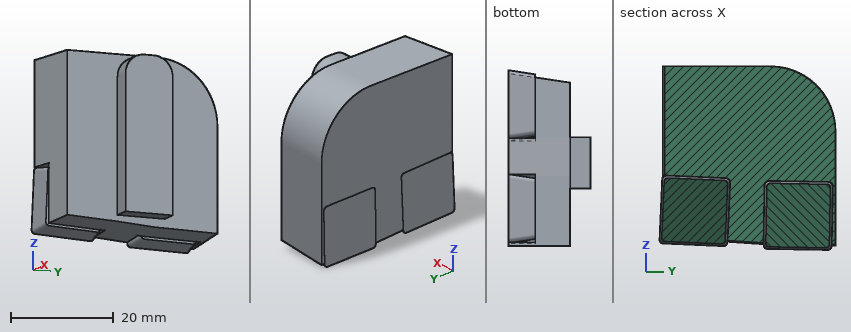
import cadquery as cq
import math


holder_thickness = 12.0
holder_length = 33.7
holder_height = 34.95
back_corner_radius = 12.7
front_relief_angle = 8.5
bottom_relief_angle = 4.5

ramp_back_y = 20.0
ramp_front_y = 12.5
ramp_rise = 0.5

key_depth = 4.0
key_width = 10.0
key_height = 31.5
key_corner_radius = 4.0
key_center_y = 17.45
key_top_gap = 0.5

insert_side = 13.25
insert_corner_radius = 0.8
insert_thickness = 5.2
insert_clearance_angle = 8.5
back_insert_tilt = 1.0
front_insert_tilt = 2.5
all_pocket_corners = "|X"
pocket_corners_except_top_front = "|X and (>Y or <Z)"
insert_seats = [
    (26.4, 5.85, back_insert_tilt, all_pocket_corners),
    (6.25, 6.75, front_insert_tilt, pocket_corners_except_top_front),
]


def tangent(angle):
    return math.tan(math.radians(angle))


def holder_outline(depth):
    """Corner points (Y, Z) of the holder section at a given depth behind the outer face."""
    front_y = depth * tangent(front_relief_angle)
    back_z = depth * tangent(bottom_relief_angle)
    ramp_back_z = back_z + (holder_length - ramp_back_y) * tangent(back_insert_tilt)
    ramp_front_z = ramp_back_z + ramp_rise
    front_z = ramp_front_z + (ramp_front_y - front_y) * tangent(front_insert_tilt)
    return [
        (holder_length, back_z),
        (ramp_back_y, ramp_back_z),
        (ramp_front_y, ramp_front_z),
        (front_y, front_z),
        (front_y, holder_height),
        (holder_length, holder_height),
    ]


def make_block():
    """Block relieved on its front and bottom, with a round top back corner."""
    return (
        cq.Workplane("YZ")
        .polyline(holder_outline(0))
        .close()
        .workplane(offset=holder_thickness)
        .polyline(holder_outline(holder_thickness))
        .close()
        .loft(ruled=True, combine=True)
        .edges(cq.selectors.NearestToPointSelector((holder_thickness / 2, holder_length, holder_height)))
        .fillet(back_corner_radius)
    )


def make_key():
    """Upright key with rounded top corners."""
    key_center_z = holder_height - key_top_gap - key_height / 2
    return (
        cq.Workplane("YZ", origin=(holder_thickness, key_center_y, key_center_z))
        .rect(key_width, key_height)
        .extrude(key_depth)
        .edges("|X and >Z")
        .fillet(key_corner_radius)
    )


def seat_prism(taper):
    """Untilted square standing inward from the outer face, narrowing by the taper angle."""
    return cq.Workplane("YZ").rect(insert_side, insert_side).extrude(insert_thickness, taper=taper)


def place_at_seat(shape, seat):
    center_y, center_z, tilt, _ = seat
    return shape.rotate((0, 0, 0), (1, 0, 0), -tilt).translate((0, center_y, center_z))


def make_pocket(seat):
    """Straight-walled pocket tool."""
    rounded_edges = seat[-1]
    pocket = seat_prism(taper=0).edges(rounded_edges).fillet(insert_corner_radius)
    return place_at_seat(pocket, seat)


def make_insert(seat):
    """Insert whose flanks lean in by the clearance angle, with corners of constant radius."""
    corner_edges = "not(<X or >X)"
    insert = seat_prism(insert_clearance_angle).edges(corner_edges).fillet(insert_corner_radius)
    return place_at_seat(insert, seat)


def make_holder():
    """Block and key as one solid, with a pocket at each seat."""
    holder = make_block().union(make_key())
    for seat in insert_seats:
        holder = holder.cut(make_pocket(seat))
    return holder


holder = make_holder()
inserts = [make_insert(seat) for seat in insert_seats]

result = cq.Compound.makeCompound([holder.val(), *[insert.val() for insert in inserts]])